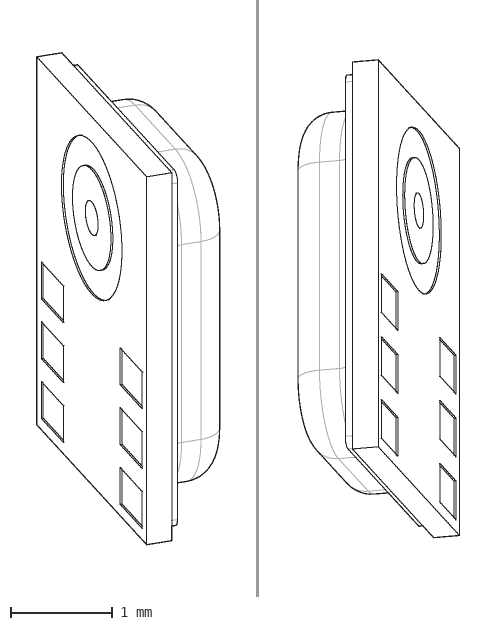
import cadquery as cq

BOARD_WIDTH = 3.0
BOARD_HEIGHT = 4.0
BOARD_THICKNESS = 0.265

FLANGE_WIDTH = 2.8
FLANGE_HEIGHT = 3.86
FLANGE_THICKNESS = 0.1
FLANGE_CORNER_RADIUS = 0.1
TOTAL_DEPTH = 0.96
CAN_WIDTH = 2.5
CAN_HEIGHT = 3.55
CAN_CORNER_RADIUS = 0.7
CAN_TOP_RADIUS = 0.29
CAN_FOOT_RADIUS = 0.1

PORT_Z = 0.9
PORT_DIAMETER = 0.35
PORT_DEPTH = 0.2
RING_INNER_DIAMETER = 1.05
RING_OUTER_DIAMETER = 1.65

PAD_WIDTH = 0.6
PAD_HEIGHT = 0.4
PAD_EDGE_MARGIN = 0.125
PAD_PITCH = 0.65
PADS_PER_COLUMN = 3

CONTACT_RECESS = 0.02

FLANGE_BACK_Y = BOARD_THICKNESS + FLANGE_THICKNESS
PAD_X = BOARD_WIDTH / 2 - PAD_EDGE_MARGIN - PAD_WIDTH / 2
LOWEST_PAD_Z = -BOARD_HEIGHT / 2 + PAD_EDGE_MARGIN + PAD_HEIGHT / 2


def plane_at(y):
    """Plane facing +Y at the given depth; its local y axis is the part's Z."""
    return cq.Workplane(cq.Plane(origin=(0, y, 0), xDir=(-1, 0, 0), normal=(0, 1, 0)))


def make_board():
    return plane_at(0).rect(BOARD_WIDTH, BOARD_HEIGHT).extrude(BOARD_THICKNESS)


def make_lid():
    flange = (
        plane_at(BOARD_THICKNESS)
        .rect(FLANGE_WIDTH, FLANGE_HEIGHT)
        .extrude(FLANGE_THICKNESS)
        .edges("|Y")
        .fillet(FLANGE_CORNER_RADIUS)
    )
    can = (
        plane_at(FLANGE_BACK_Y)
        .rect(CAN_WIDTH, CAN_HEIGHT)
        .extrude(TOTAL_DEPTH - FLANGE_BACK_Y)
        .edges("|Y")
        .fillet(CAN_CORNER_RADIUS)
        .faces(">Y")
        .edges()
        .fillet(CAN_TOP_RADIUS)
    )
    foot_reach_x = (CAN_WIDTH + CAN_FOOT_RADIUS) / 2
    foot_reach_z = (CAN_HEIGHT + CAN_FOOT_RADIUS) / 2
    foot_outline = cq.selectors.BoxSelector(
        (-foot_reach_x, FLANGE_BACK_Y - CAN_FOOT_RADIUS / 2, -foot_reach_z),
        (foot_reach_x, FLANGE_BACK_Y + CAN_FOOT_RADIUS / 2, foot_reach_z),
    )
    return flange.union(can).edges(foot_outline).fillet(CAN_FOOT_RADIUS)


def make_pad_recesses():
    centers = []
    for x in (-PAD_X, PAD_X):
        for row in range(PADS_PER_COLUMN):
            centers.append((x, LOWEST_PAD_Z + row * PAD_PITCH))
    return plane_at(0).pushPoints(centers).rect(PAD_WIDTH, PAD_HEIGHT).extrude(CONTACT_RECESS)


def make_ring_recess():
    return (
        plane_at(0)
        .center(0, PORT_Z)
        .circle(RING_OUTER_DIAMETER / 2)
        .circle(RING_INNER_DIAMETER / 2)
        .extrude(CONTACT_RECESS)
    )


def make_port():
    """Blind round hole in the front face."""
    return plane_at(0).center(0, PORT_Z).circle(PORT_DIAMETER / 2).extrude(PORT_DEPTH)


result = (
    make_board()
    .union(make_lid())
    .cut(make_pad_recesses())
    .cut(make_ring_recess())
    .cut(make_port())
)